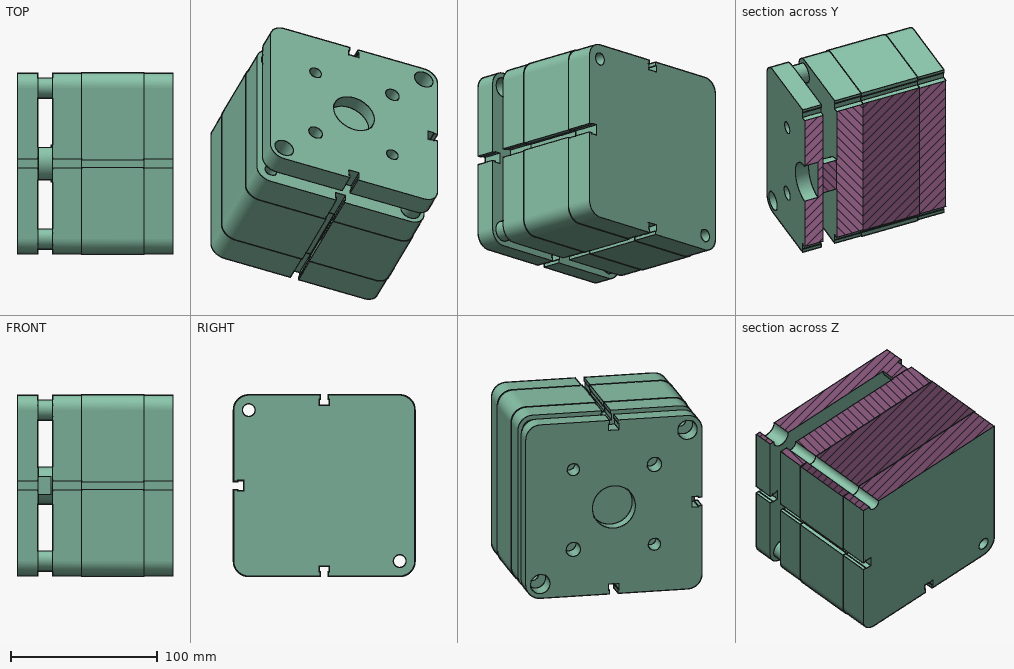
import cadquery as cq


plate_thickness = 14.0
gap = 10.0
cap_length = 19.8
barrel_length = 42.4
front_cap_x = plate_thickness + gap
barrel_x = front_cap_x + cap_length
rear_cap_x = barrel_x + barrel_length

barrel_side = 124.0
inset = 0.4
corner_radius = 10.6
corner_offset = barrel_side / 2 - corner_radius

groove_mouth_width = 5.2
groove_inner_width = 6.6
groove_lip = 3.4
groove_depth = 7.0
groove_angles = (0, 90, 180)

screw_hole_diameter = 8.5
access_hole_diameter = 13.5
screw_corners = [(-corner_offset, corner_offset), (corner_offset, -corner_offset)]

guide_rod_diameter = 14.0
guide_corners = [(corner_offset, corner_offset), (-corner_offset, -corner_offset)]
recess_diameter = 30.0
recess_depth = 10.0
mount_offset = 28.3
small_mount_diameter = 8.5
small_mount_points = [(mount_offset, mount_offset), (-mount_offset, -mount_offset)]
large_mount_diameter = 10.0
large_mount_points = [(-mount_offset, mount_offset), (mount_offset, -mount_offset)]

rod_diameter = 25.4
rod_across_flats = 22.2
rod_flat_length = 9.0
rod_chamfer = 0.4


def plane_at(x):
    """YZ plane at the given distance along the axis."""
    return cq.Workplane("YZ", origin=(x, 0, 0))


def groove(x, length, offset, angle):
    """Undercut groove cutter, turned about the axis from the top side."""
    mouth = groove_mouth_width / 2 + offset
    inner = groove_inner_width / 2 + offset
    outside = barrel_side / 2
    lip_z = barrel_side / 2 - groove_lip + offset
    floor_z = barrel_side / 2 - groove_depth - offset
    cutter = (
        plane_at(x)
        .polyline([
            (-mouth, outside),
            (-mouth, lip_z),
            (-inner, lip_z),
            (-inner, floor_z),
            (inner, floor_z),
            (inner, lip_z),
            (mouth, lip_z),
            (mouth, outside),
        ])
        .close()
        .extrude(length)
    )
    return cutter.rotate((0, 0, 0), (1, 0, 0), angle)


def cylinders(x, length, points, diameter):
    """Round bars along the axis, used as rods and as hole cutters."""
    return plane_at(x).pushPoints(points).circle(diameter / 2).extrude(length)


def profile_block(x, length, offset, corner_hole_diameter):
    """Rounded square block with its grooves and the two screw corner holes."""
    side = barrel_side - 2 * offset
    block = plane_at(x).rect(side, side).extrude(length)
    block = block.edges("|X").fillet(corner_radius - offset)
    for angle in groove_angles:
        block = block.cut(groove(x, length, offset, angle))
    return block.cut(cylinders(x, length, screw_corners, corner_hole_diameter))


def make_yoke():
    """Yoke plate with its two guide rods."""
    plate = profile_block(0, plate_thickness, inset, access_hole_diameter)
    plate = plate.cut(cylinders(0, recess_depth, [(0, 0)], recess_diameter))
    plate = plate.cut(cylinders(0, plate_thickness, small_mount_points, small_mount_diameter))
    plate = plate.cut(cylinders(0, plate_thickness, large_mount_points, large_mount_diameter))
    return plate.union(cylinders(plate_thickness, gap, guide_corners, guide_rod_diameter))


def make_piston_rod():
    """Rod between plate and front cap, with wrench flats on its +Y and -Y sides."""
    rod = cylinders(plate_thickness, gap, [(0, 0)], rod_diameter)
    rod = rod.faces("<X").chamfer(rod_chamfer)
    flats = (
        plane_at(plate_thickness)
        .rect(2 * rod_diameter, 2 * rod_diameter)
        .rect(rod_across_flats, 2 * rod_diameter)
        .extrude(rod_flat_length)
    )
    return rod.cut(flats)


def make_cap(x):
    """End cap of the housing."""
    return profile_block(x, cap_length, inset, screw_hole_diameter)


yoke = make_yoke()
piston_rod = make_piston_rod()
barrel = profile_block(barrel_x, barrel_length, 0, screw_hole_diameter)
caps = [make_cap(x) for x in (front_cap_x, rear_cap_x)]

result = cq.Compound.makeCompound([
    yoke.val(),
    piston_rod.val(),
    barrel.val(),
    *[cap.val() for cap in caps],
])